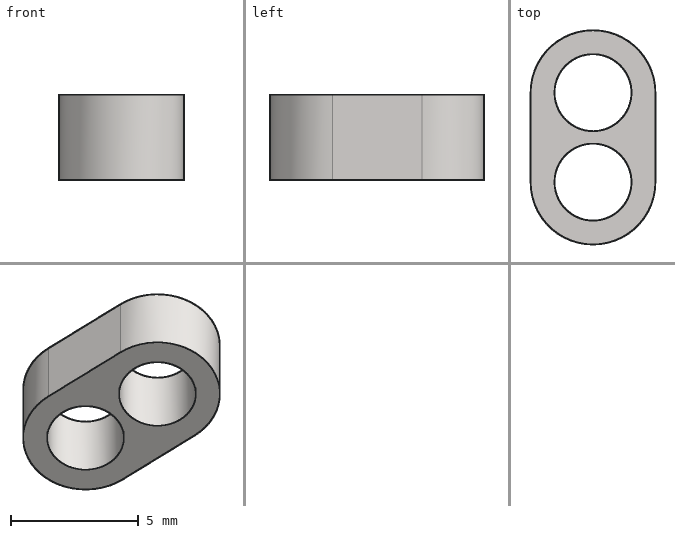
import cadquery as cq

length = 8.39
width = 4.89
height = 3.35
hole_diameter = 3.0

hole_spacing = length - width

body = cq.Workplane("XY").slot2D(length, width, 90).extrude(height)

result = (
    body.faces(">Z")
    .workplane(origin=(0, 0, height))
    .pushPoints([(0, -hole_spacing / 2), (0, hole_spacing / 2)])
    .hole(hole_diameter)
)